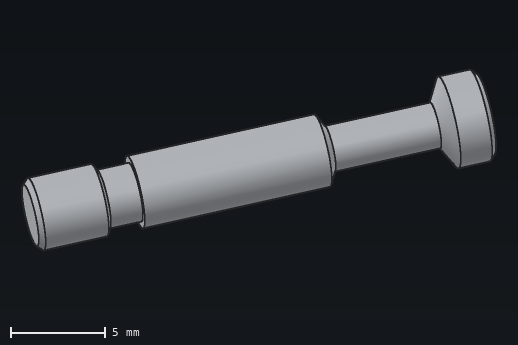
import cadquery as cq
import math

length = 25.0
head_radius = 5.0 / 2
neck_radius = 2.5 / 2
body_radius = 3.95 / 2
groove_radius = 3.2 / 2

groove_start = 3.78
groove_end = 5.75
neck_start = 16.45
neck_end = 22.25

end_chamfer = 0.3

shoulder_angle = math.radians(30)


def shoulder_length(outer_radius, inner_radius):
    """Axial length of the cone between two radii."""
    return (outer_radius - inner_radius) * math.tan(shoulder_angle)


groove_shoulder = shoulder_length(body_radius, groove_radius)
body_shoulder = shoulder_length(body_radius, neck_radius)
head_shoulder = shoulder_length(head_radius, neck_radius)

profile = [
    (0, 0),
    (body_radius - end_chamfer, 0),
    (body_radius, end_chamfer),
    (body_radius, groove_start),
    (groove_radius, groove_start + groove_shoulder),
    (groove_radius, groove_end),
    (body_radius, groove_end),
    (body_radius, neck_start - body_shoulder),
    (neck_radius, neck_start),
    (neck_radius, neck_end),
    (head_radius, neck_end + head_shoulder),
    (head_radius, length - end_chamfer),
    (head_radius - end_chamfer, length),
    (0, length),
]

full_turn = 360
pin = cq.Workplane("XY").polyline(profile).close().revolve(full_turn, (0, 0, 0), (0, 1, 0))

result = pin.translate((0, -length / 2, 0))